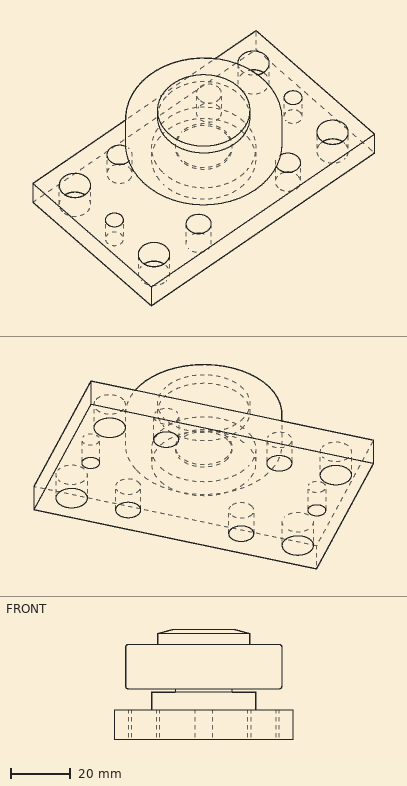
import cadquery as cq

plate_width = 60.0
plate_length = 100.0
plate_thickness = 10.0

hole_x = 20.0
end_hole_y = 40.0
inner_hole_y = 20.0
corner_hole_diameter = 10.5
inner_hole_diameter = 8.4
pin_hole_diameter = 6.0

boss_diameter = 35.0
boss_height = 6.0
neck_diameter = 19.0
neck_height = 1.0
roller_diameter = 52.5
roller_height = 15.0
roller_edge_radius = 1.0
cap_diameter = 31.0
cap_height = 5.0
cap_top_diameter = 20.6
cap_cone_height = 1.4


def disc(diameter, height, bottom):
    """Vertical cylinder on the stack axis, standing at the given level."""
    return cq.Workplane("XY").workplane(offset=bottom).circle(diameter / 2).extrude(height)


def drilled_plate():
    """Base plate with its underside at Z = 0 and all through holes."""
    plate = cq.Workplane("XY").box(
        plate_width, plate_length, plate_thickness, centered=(True, True, False)
    )
    hole_groups = [
        (corner_hole_diameter, hole_x, end_hole_y),
        (inner_hole_diameter, hole_x, inner_hole_y),
    ]
    for diameter, x, y in hole_groups:
        plate = plate.faces(">Z").workplane(origin=(0, 0, 0)).rect(2 * x, 2 * y, forConstruction=True)
        plate = plate.vertices().hole(diameter)
    pin_points = [(0, -end_hole_y), (0, end_hole_y)]
    return plate.faces(">Z").workplane(origin=(0, 0, 0)).pushPoints(pin_points).hole(pin_hole_diameter)


def cap(bottom):
    """Cylindrical cap that ends in a shallow cone with a flat top."""
    cone_inset = (cap_diameter - cap_top_diameter) / 2
    return disc(cap_diameter, cap_height, bottom).faces(">Z").edges().chamfer(cap_cone_height, cone_inset)


neck_bottom = plate_thickness + boss_height
roller_bottom = neck_bottom + neck_height
roller_top = roller_bottom + roller_height

boss = disc(boss_diameter, boss_height, plate_thickness)
neck = disc(neck_diameter, neck_height, neck_bottom)
roller = disc(roller_diameter, roller_height, roller_bottom).edges().fillet(roller_edge_radius)

result = drilled_plate().union(boss).union(neck).union(roller).union(cap(roller_top))